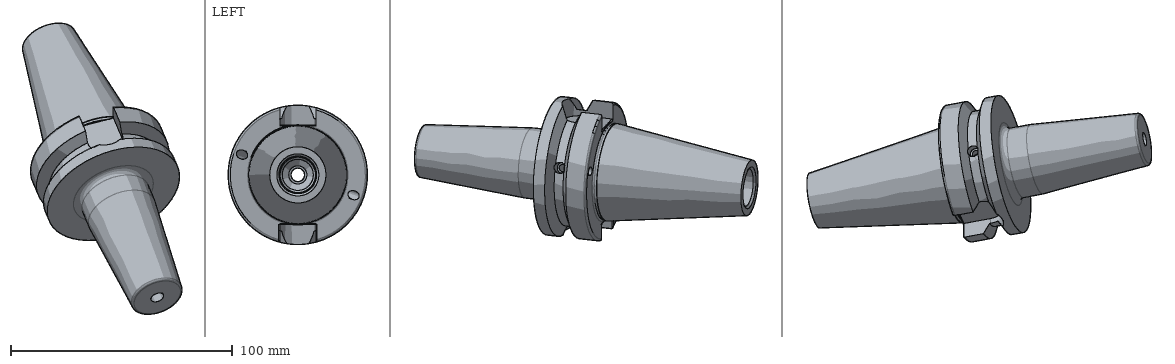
import cadquery as cq
import math


GAUGE_DIAMETER = 44.45
TAPER_LENGTH = 65.4
TAPER_RATIO = 7 / 24
SMALL_DIAMETER = GAUGE_DIAMETER - TAPER_LENGTH * TAPER_RATIO

FLANGE_DIAMETER = 63.0
FLANGE_START = 2.0
FLANGE_END = 27.0
FLANGE_EDGE_RADIUS = 1.0
NECK_DIAMETER = 43.7
NECK_FILLET_RADIUS = 0.8
GROOVE_CENTRE = 16.6
GROOVE_FLOOR_DIAMETER = 53.0
GROOVE_MOUTH_WIDTH = 10.0
GROOVE_FLANK_ANGLE = 30.0

NOSE_END = 90.0
NOSE_BASE_DIAMETER = 32.0
NOSE_TIP_DIAMETER = 24.0
NOSE_TAPER_ANGLE = 4.5
NOSE_ROOT_RADIUS = 3.0
NOSE_TIP_RADIUS = 1.0

BORE_MOUTH_DIAMETER = 19.0
COUNTERBORE_DIAMETER = 17.0
COUNTERBORE_DEPTH = 6.5
LEAD_IN_DIAMETER = 16.0
LEAD_IN_LENGTH = 1.5
THREAD_BORE_DIAMETER = 14.0
THREAD_BORE_DEPTH = 30.0
DRILL_POINT_ANGLE = 118.0
INNER_BORE_DIAMETER = 8.2
INNER_BORE_END = FLANGE_END
THROUGH_BORE_DIAMETER = 6.0

KEYWAY_FLOOR_HEIGHT = 22.5
KEYWAY_EDGE_CHAMFER = 0.5
KEYWAY_WIDTH = 16.3
KEYWAY_END = 23.2

COOLANT_ANGLE = 20.0
COOLANT_INLET_RADIUS = 26.8
COOLANT_DIAMETER = 4.0
COOLANT_SLOPE = 40.0
PLUG_DIAMETER = 5.0
PLUG_SEAT_RADIUS = 22.0
PLUG_PILOT_DIAMETER = 3.2


def turned_body():
    gauge_radius = GAUGE_DIAMETER / 2
    flange_radius = FLANGE_DIAMETER / 2
    floor_radius = GROOVE_FLOOR_DIAMETER / 2
    nose_radius = NOSE_BASE_DIAMETER / 2
    tip_radius = NOSE_TIP_DIAMETER / 2
    flank_run = (flange_radius - floor_radius) * math.tan(math.radians(GROOVE_FLANK_ANGLE))
    half_mouth = GROOVE_MOUTH_WIDTH / 2
    half_floor = half_mouth - flank_run
    nose_slope = math.tan(math.radians(NOSE_TAPER_ANGLE))
    nose_taper_start = NOSE_END - (nose_radius - tip_radius) / nose_slope
    rounding_start = NOSE_END - NOSE_TIP_RADIUS
    rounding_radius = tip_radius + NOSE_TIP_RADIUS * nose_slope
    neck_radius = NECK_DIAMETER / 2
    arc_middle = 1 - math.sqrt(0.5)

    profile = (
        cq.Workplane("XY")
        .moveTo(-TAPER_LENGTH, 0)
        .lineTo(-TAPER_LENGTH, SMALL_DIAMETER / 2)
        .lineTo(0, gauge_radius)
        .lineTo(0, neck_radius)
        .lineTo(FLANGE_START - NECK_FILLET_RADIUS, neck_radius)
        .threePointArc(
            (FLANGE_START - NECK_FILLET_RADIUS * arc_middle, neck_radius + NECK_FILLET_RADIUS * arc_middle),
            (FLANGE_START, neck_radius + NECK_FILLET_RADIUS),
        )
        .lineTo(FLANGE_START, flange_radius - FLANGE_EDGE_RADIUS)
        .threePointArc(
            (FLANGE_START + FLANGE_EDGE_RADIUS * arc_middle, flange_radius - FLANGE_EDGE_RADIUS * arc_middle),
            (FLANGE_START + FLANGE_EDGE_RADIUS, flange_radius),
        )
        .lineTo(GROOVE_CENTRE - half_mouth, flange_radius)
        .lineTo(GROOVE_CENTRE - half_floor, floor_radius)
        .lineTo(GROOVE_CENTRE + half_floor, floor_radius)
        .lineTo(GROOVE_CENTRE + half_mouth, flange_radius)
        .lineTo(FLANGE_END, flange_radius)
        .lineTo(FLANGE_END, nose_radius + NOSE_ROOT_RADIUS)
        .threePointArc(
            (FLANGE_END + NOSE_ROOT_RADIUS * arc_middle, nose_radius + NOSE_ROOT_RADIUS * arc_middle),
            (FLANGE_END + NOSE_ROOT_RADIUS, nose_radius),
        )
        .lineTo(nose_taper_start, nose_radius)
        .lineTo(rounding_start, rounding_radius)
        .threePointArc(
            (NOSE_END - NOSE_TIP_RADIUS * arc_middle, rounding_radius - NOSE_TIP_RADIUS * arc_middle),
            (NOSE_END, rounding_radius - NOSE_TIP_RADIUS),
        )
        .lineTo(NOSE_END, 0)
        .close()
    )
    return profile.revolve(360, (0, 0, 0), (1, 0, 0))


def stepped_bore():
    mouth_radius = BORE_MOUTH_DIAMETER / 2
    counterbore_radius = COUNTERBORE_DIAMETER / 2
    thread_radius = THREAD_BORE_DIAMETER / 2
    through_radius = THROUGH_BORE_DIAMETER / 2
    mouth_chamfer = mouth_radius - counterbore_radius
    lead_in_radius = LEAD_IN_DIAMETER / 2
    inner_radius = INNER_BORE_DIAMETER / 2
    lead_in_end = -TAPER_LENGTH + COUNTERBORE_DEPTH + LEAD_IN_LENGTH
    thread_chamfer = lead_in_radius - thread_radius
    point_length = (thread_radius - inner_radius) / math.tan(math.radians(DRILL_POINT_ANGLE / 2))
    start = -TAPER_LENGTH
    profile = (
        cq.Workplane("XY")
        .moveTo(start, 0)
        .lineTo(start, mouth_radius)
        .lineTo(start + mouth_chamfer, counterbore_radius)
        .lineTo(start + COUNTERBORE_DEPTH, counterbore_radius)
        .lineTo(lead_in_end, lead_in_radius)
        .lineTo(lead_in_end + thread_chamfer, thread_radius)
        .lineTo(start + THREAD_BORE_DEPTH, thread_radius)
        .lineTo(start + THREAD_BORE_DEPTH + point_length, inner_radius)
        .lineTo(INNER_BORE_END, inner_radius)
        .lineTo(INNER_BORE_END, through_radius)
        .lineTo(NOSE_END, through_radius)
        .lineTo(NOSE_END, 0)
        .close()
    )
    return profile.revolve(360, (0, 0, 0), (1, 0, 0))


def keyway():
    """Cutter for a round-ended keyway on the +Z side, open toward the taper."""
    half_width = KEYWAY_WIDTH / 2
    arc_centre = KEYWAY_END - half_width
    slot = (
        cq.Workplane("XY", origin=(0, 0, KEYWAY_FLOOR_HEIGHT))
        .moveTo(FLANGE_START, -half_width)
        .lineTo(arc_centre, -half_width)
        .threePointArc((KEYWAY_END, 0), (arc_centre, half_width))
        .lineTo(FLANGE_START, half_width)
        .close()
        .extrude(FLANGE_DIAMETER / 2)
    )
    floor_chamfer = (
        cq.Workplane("XZ", origin=(0, half_width, 0))
        .moveTo(FLANGE_START, KEYWAY_FLOOR_HEIGHT - KEYWAY_EDGE_CHAMFER)
        .lineTo(FLANGE_START + KEYWAY_EDGE_CHAMFER, KEYWAY_FLOOR_HEIGHT)
        .lineTo(FLANGE_START, KEYWAY_FLOOR_HEIGHT)
        .close()
        .extrude(KEYWAY_WIDTH)
    )
    return slot.union(floor_chamfer)


def keyway_wall_chamfers():
    """Cutter that bevels the edges where the keyway walls meet the flange face."""
    half_width = KEYWAY_WIDTH / 2
    half_mouth = half_width + KEYWAY_EDGE_CHAMFER
    return (
        cq.Workplane("XY", origin=(0, 0, KEYWAY_FLOOR_HEIGHT))
        .moveTo(FLANGE_START, -half_mouth)
        .lineTo(FLANGE_START + KEYWAY_EDGE_CHAMFER, -half_width)
        .lineTo(FLANGE_START + KEYWAY_EDGE_CHAMFER, half_width)
        .lineTo(FLANGE_START, half_mouth)
        .close()
        .extrude(FLANGE_DIAMETER / 2)
    )


def coolant_hole():
    """Cutter on the +Y side: a sloping hole in the flange face met by a stepped plug hole in the groove."""
    slope = math.radians(COOLANT_SLOPE)
    junction_radius = COOLANT_INLET_RADIUS - (GROOVE_CENTRE - FLANGE_START) * math.tan(slope)
    sloping_length = (GROOVE_CENTRE - FLANGE_START) / math.cos(slope)
    direction = cq.Vector(math.cos(slope), -math.sin(slope), 0)
    inlet = cq.Vector(FLANGE_START, COOLANT_INLET_RADIUS, 0)
    lead_in = COOLANT_DIAMETER
    sloping = cq.Solid.makeCylinder(
        COOLANT_DIAMETER / 2, sloping_length + lead_in, inlet - direction * lead_in, direction
    )
    outward = cq.Vector(0, 1, 0)
    pilot_length = PLUG_SEAT_RADIUS - junction_radius
    plug_length = FLANGE_DIAMETER / 2 - PLUG_SEAT_RADIUS
    pilot = cq.Solid.makeCylinder(
        PLUG_PILOT_DIAMETER / 2, pilot_length, cq.Vector(GROOVE_CENTRE, junction_radius, 0), outward
    )
    plug = cq.Solid.makeCylinder(
        PLUG_DIAMETER / 2, plug_length, cq.Vector(GROOVE_CENTRE, PLUG_SEAT_RADIUS, 0), outward
    )
    cutter = cq.Workplane(sloping).union(cq.Workplane(pilot)).union(cq.Workplane(plug))
    return cutter.rotate((0, 0, 0), (1, 0, 0), COOLANT_ANGLE)


def half_turn(shape):
    return shape.rotate((0, 0, 0), (1, 0, 0), 180)


body = turned_body().cut(stepped_bore())
body = body.cut(keyway())
body = body.cut(half_turn(keyway().union(keyway_wall_chamfers())))
body = body.cut(coolant_hole())
body = body.cut(half_turn(coolant_hole()))

result = body